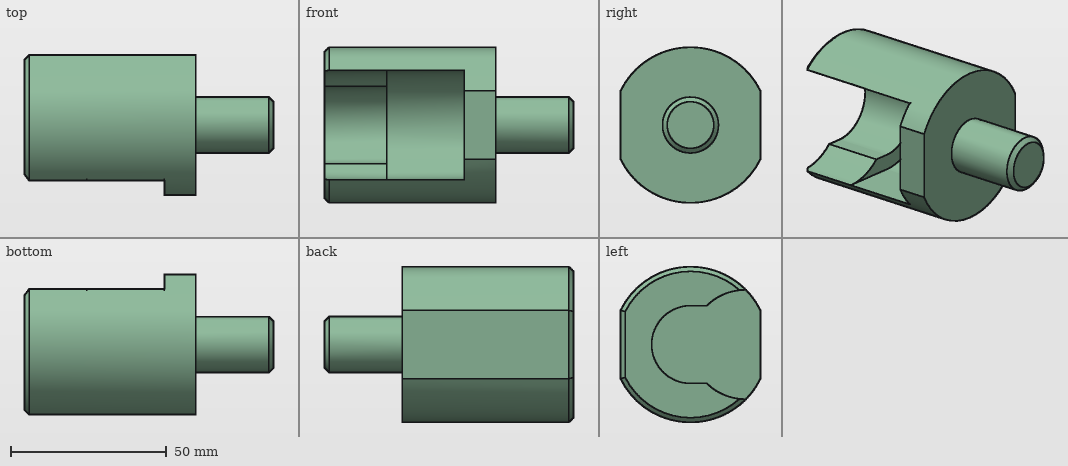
import cadquery as cq

total_length = 80.0
body_diameter = 50.0
width_across_flats = 45.0

body_length = 55.0
body_chamfer = 1.5
stud_diameter = 18.0
stud_chamfer = 1.5

entry_length = 20.0
entry_radius = 12.5
chamber_end = 45.0
chamber_radius = 17.5
flare_center_y = -chamber_radius

body_radius = body_diameter / 2


def make_body():
    """Round body with two flats and a chamfered front edge."""
    cylinder = cq.Workplane("YZ").circle(body_radius).extrude(body_length)
    flats = cq.Workplane("YZ").rect(width_across_flats, body_diameter).extrude(body_length)
    return cylinder.intersect(flats).faces("<X").chamfer(body_chamfer)


def make_stud():
    """Plain stud behind the body with a chamfered end."""
    stud = cq.Workplane("YZ", origin=(body_length, 0, 0)).circle(stud_diameter / 2)
    return stud.extrude(total_length - body_length).faces(">X").chamfer(stud_chamfer)


def make_slot(radius, start, end):
    """Round-bottomed slot along X that opens through the -Y side."""
    return (
        cq.Workplane("YZ", origin=(start, 0, 0))
        .moveTo(-body_radius, radius)
        .lineTo(0, radius)
        .threePointArc((radius, 0), (0, -radius))
        .lineTo(-body_radius, -radius)
        .close()
        .extrude(end - start)
    )


def make_flare():
    """Round bore that widens the entry slot where it meets the -Y side."""
    bore = cq.Workplane("YZ").center(flare_center_y, 0).circle(chamber_radius)
    outlet = cq.Workplane("YZ").rect(body_diameter, 2 * chamber_radius).extrude(entry_length)
    outlet = outlet.translate((0, flare_center_y - body_radius, 0))
    return bore.extrude(entry_length).union(outlet)


result = (
    make_body()
    .union(make_stud())
    .cut(make_slot(entry_radius, 0, entry_length))
    .cut(make_flare())
    .cut(make_slot(chamber_radius, entry_length, chamber_end))
)